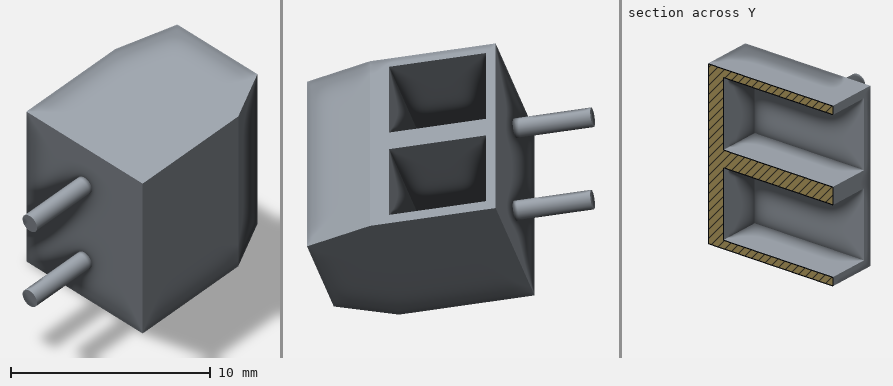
import cadquery as cq

length = 14.0
width = 8.0
height = 10.0
pin_length = 4.0
pin_diameter = 1.0
pole_count = 2

left_slope_x = 1.0
left_slope_y = 3.5
right_slope_x = 1.5
right_slope_y = 3.0

opening_wall = 0.5
opening_length = 5.0
opening_depth = 7.0

body_depth = length - pin_length
pole_pitch = height / pole_count
opening_height = pole_pitch - 2 * opening_wall
half_width = width / 2


def make_body():
    """Block with two unequal sloped corners, extruded along Z."""
    outline = [
        (-half_width, 0),
        (half_width, 0),
        (half_width, body_depth - right_slope_y),
        (half_width - right_slope_x, body_depth),
        (-half_width + left_slope_x, body_depth),
        (-half_width, body_depth - left_slope_y),
    ]
    return cq.Workplane("XY").polyline(outline).close().extrude(height)


def make_opening(pole_z):
    """Rectangular wire pocket entering from the -X side."""
    return (
        cq.Workplane("XY")
        .box(opening_depth, opening_length, opening_height, centered=(False, False, True))
        .translate((-half_width, opening_wall, pole_z))
    )


def make_pin(pole_z):
    """Round solder pin projecting from the -Y face."""
    return (
        cq.Workplane("XZ")
        .center(0, pole_z)
        .circle(pin_diameter / 2)
        .extrude(pin_length)
    )


result = make_body()
for pole in range(pole_count):
    pole_center_z = (pole + 0.5) * pole_pitch
    result = result.cut(make_opening(pole_center_z))
    result = result.union(make_pin(pole_center_z))